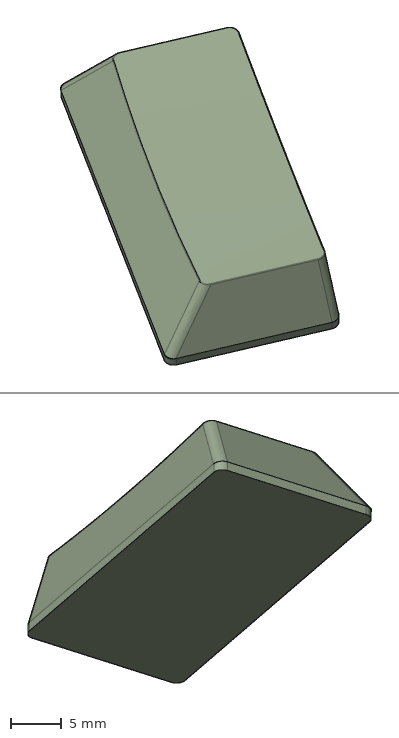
import cadquery as cq

base_length = 37.05
base_width = 18.0
skirt_height = 1.0
corner_radius = 1.0

total_height = 7.5
end_inset = 3.0
back_inset = 0.55
front_inset = 4.55

dish_depth = 0.6

rim_radius = 0.1

top_length = base_length - 2 * end_inset
top_width = base_width - back_inset - front_inset
top_center_y = (front_inset - back_inset) / 2


def make_skirt():
    """Straight-sided rim with rounded corners at the bottom of the key."""
    return (
        cq.Workplane("XY")
        .rect(base_length, base_width)
        .extrude(skirt_height)
        .edges("|Z")
        .fillet(corner_radius)
    )


def make_body():
    """Tapered body from the skirt up to the smaller, rearward top, with its four slanted edges rounded."""
    return (
        cq.Workplane("XY", origin=(0, 0, skirt_height))
        .rect(base_length, base_width)
        .workplane(offset=total_height - skirt_height)
        .center(0, top_center_y)
        .rect(top_length, top_width)
        .loft(ruled=True)
        .edges("not #Z")
        .fillet(corner_radius)
    )


def make_dish():
    """Cylinder segment, running along Y, that hollows the top."""
    half_length = top_length / 2
    return (
        cq.Workplane("XZ")
        .moveTo(-half_length, total_height)
        .threePointArc((0, total_height - dish_depth), (half_length, total_height))
        .close()
        .extrude(base_width / 2, both=True)
    )


def round_rim(key):
    """Soften the edge where the dished top meets the tapered sides."""
    return key.faces(cq.selectors.NearestToPointSelector((0, 0, total_height))).edges().fillet(rim_radius)


dished_key = make_skirt().union(make_body()).cut(make_dish())
result = round_rim(dished_key)